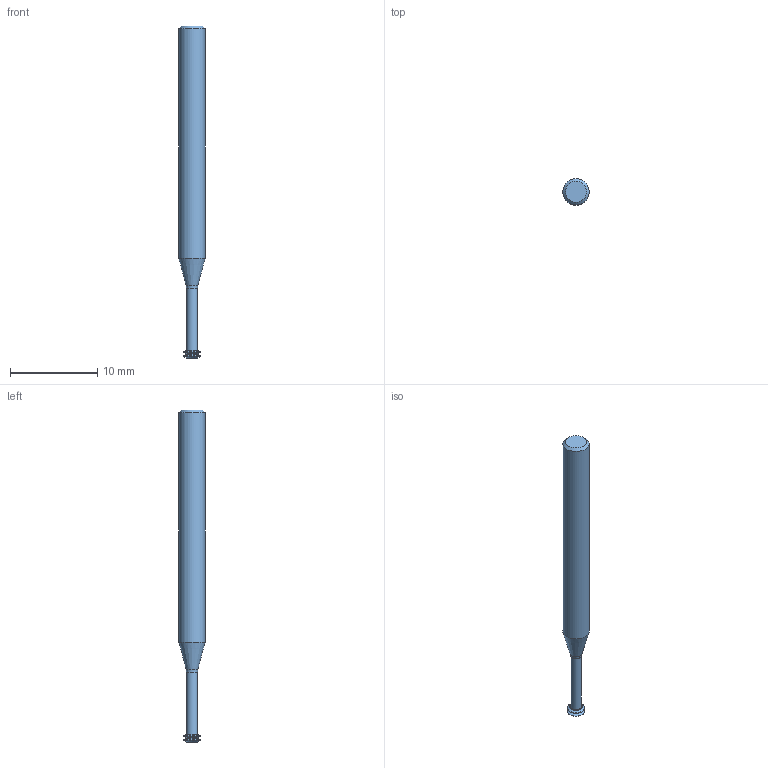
import cadquery as cq
import math


overall_length = 38.0
shank_radius = 3.0 / 2
shank_chamfer = 0.3

neck_radius = 1.26 / 2
neck_end_z = 8.0
taper_half_angle = math.radians(15)
blend_radius = 1.2

tooth_count = 2
tooth_pitch = 0.45
tooth_radius = 1.97 / 2
root_radius = 1.45 / 2
crest_width = 0.04
tip_radius = 0.625
head_length = tooth_count * tooth_pitch
flank_slope = math.tan(math.radians(30))

root_offset = crest_width / 2 + (tooth_radius - root_radius) * flank_slope
tip_offset = crest_width / 2 + (tooth_radius - tip_radius) * flank_slope


def blend_point(angle):
    """Point (radius, z) on the neck blend arc, turned by angle away from the straight neck."""
    radius = neck_radius + blend_radius * (1 - math.cos(angle))
    return radius, neck_end_z + blend_radius * math.sin(angle)


def add_teeth(outline):
    """Draw the tooth profile upwards from the tip, ending with a flat shoulder on the neck."""
    for index in range(tooth_count):
        centre_z = tip_offset + index * tooth_pitch
        if index > 0:
            outline = outline.lineTo(root_radius, centre_z - root_offset)
        outline = outline.lineTo(tooth_radius, centre_z - crest_width / 2)
        outline = outline.lineTo(tooth_radius, centre_z + crest_width / 2)
        outline = outline.lineTo(root_radius, centre_z + root_offset)
    return outline.lineTo(root_radius, head_length).lineTo(neck_radius, head_length)


def add_neck_and_taper(outline):
    """Draw the straight neck, the tangent blend and the cone up to the shank."""
    blend_end_radius, blend_end_z = blend_point(taper_half_angle)
    taper_end_z = blend_end_z + (shank_radius - blend_end_radius) / math.tan(taper_half_angle)
    outline = outline.lineTo(*blend_point(0))
    outline = outline.threePointArc(blend_point(taper_half_angle / 2), blend_point(taper_half_angle))
    return outline.lineTo(shank_radius, taper_end_z)


def add_shank(outline):
    """Draw the cylindrical shank with its chamfered end."""
    outline = outline.lineTo(shank_radius, overall_length - shank_chamfer)
    outline = outline.lineTo(shank_radius - shank_chamfer, overall_length)
    return outline.lineTo(0, overall_length)


half_section = cq.Workplane("XZ").lineTo(tip_radius, 0)
half_section = add_teeth(half_section)
half_section = add_neck_and_taper(half_section)
half_section = add_shank(half_section).close()

result = half_section.revolve(360, (0, 0, 0), (0, 1, 0))